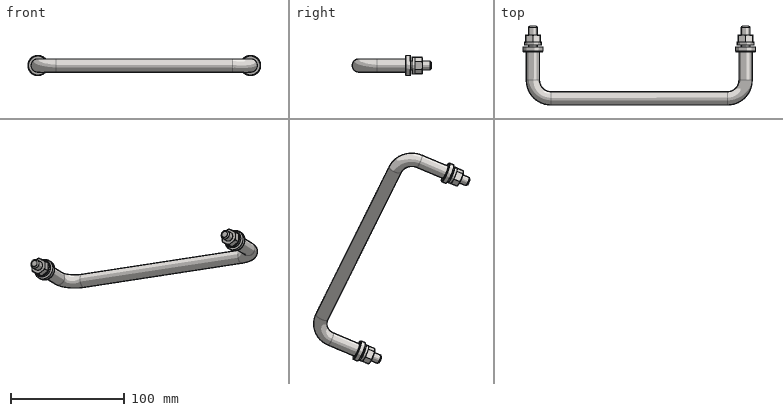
import cadquery as cq
import math

overall_length = 206.0
overall_depth = 70.0

bar_diameter = 12.0
bend_radius = 16.0
stud_diameter = 8.0
stud_chamfer = 1.2

collar_diameter = 18.0
collar_thickness = 4.3
collar_chamfer = 0.6

collar_to_washer_gap = 1.6
washer_diameter = 15.0
washer_thickness = 2.5
nut_across_flats = 13.0
nut_thickness = 6.4
nut_chamfer_inset = 0.6
nut_chamfer_height = 0.5
stud_projection = 8.0

leg_x = (overall_length - collar_diameter) / 2
leg_positions = (-leg_x, leg_x)

grip_axis_y = bar_diameter / 2
bend_end_y = grip_axis_y + bend_radius
stud_tip_y = overall_depth
nut_outer_y = stud_tip_y - stud_projection
nut_inner_y = nut_outer_y - nut_thickness
washer_inner_y = nut_inner_y - washer_thickness
collar_outer_y = washer_inner_y - collar_to_washer_gap
shoulder_y = collar_outer_y - collar_thickness


def plane_across_leg(x, y):
    """Plane across a leg axis: local x is +X, local y is -Z, extrusion is +Y."""
    return cq.Plane(origin=(x, y, 0), xDir=(1, 0, 0), normal=(0, 1, 0))


def rod(x, start_y, end_y, diameter):
    """Solid cylinder lying along a leg axis."""
    return cq.Workplane(plane_across_leg(x, start_y)).circle(diameter / 2).extrude(end_y - start_y)


def ring(x, start_y, thickness, diameter):
    """Disc on a leg axis, bored to fit the stud."""
    section = cq.Workplane(plane_across_leg(x, start_y)).circle(diameter / 2).circle(stud_diameter / 2)
    return section.extrude(thickness)


def make_handle():
    """U-shaped round bar with a reduced stud at each end."""
    bend_centre_x = leg_x - bend_radius
    arc_reach = bend_radius * math.sqrt(0.5)
    arc_mid_x = bend_centre_x + arc_reach
    arc_mid_y = bend_end_y - arc_reach
    path = (
        cq.Workplane("XY")
        .moveTo(-leg_x, shoulder_y)
        .lineTo(-leg_x, bend_end_y)
        .threePointArc((-arc_mid_x, arc_mid_y), (-bend_centre_x, grip_axis_y))
        .lineTo(bend_centre_x, grip_axis_y)
        .threePointArc((arc_mid_x, arc_mid_y), (leg_x, bend_end_y))
        .lineTo(leg_x, shoulder_y)
    )
    bar = cq.Workplane(plane_across_leg(-leg_x, shoulder_y)).circle(bar_diameter / 2).sweep(path)
    for x in leg_positions:
        stud = rod(x, shoulder_y, stud_tip_y, stud_diameter).faces(">Y").chamfer(stud_chamfer)
        bar = bar.union(stud)
    return bar


def make_collar(x):
    """Ring with a chamfered rim on the grip side."""
    collar = ring(x, shoulder_y, collar_thickness, collar_diameter)
    outer_rim = collar.faces("<Y").edges(cq.selectors.RadiusNthSelector(-1))
    return outer_rim.chamfer(collar_chamfer)


def make_washer(x):
    """Plain flat washer under the nut."""
    return ring(x, washer_inner_y, washer_thickness, washer_diameter)


def make_nut(x):
    """Hexagon nut with corners up and down, bevelled at its outer end."""
    across_corners = nut_across_flats / math.cos(math.pi / 6)
    hexagon = (
        cq.Workplane(plane_across_leg(x, nut_inner_y))
        .transformed(rotate=(0, 0, 90))
        .polygon(6, across_corners)
        .extrude(nut_thickness)
    )
    bevel = (
        rod(x, nut_inner_y, nut_outer_y, across_corners)
        .faces(">Y")
        .chamfer(nut_chamfer_height, nut_chamfer_inset)
    )
    bore = rod(x, nut_inner_y, nut_outer_y, stud_diameter)
    return hexagon.intersect(bevel).cut(bore)


handle = make_handle()
bodies = [handle.val()]
for x in leg_positions:
    bodies.append(make_collar(x).val())
    bodies.append(make_washer(x).val())
    bodies.append(make_nut(x).val())

result = cq.Compound.makeCompound(bodies)